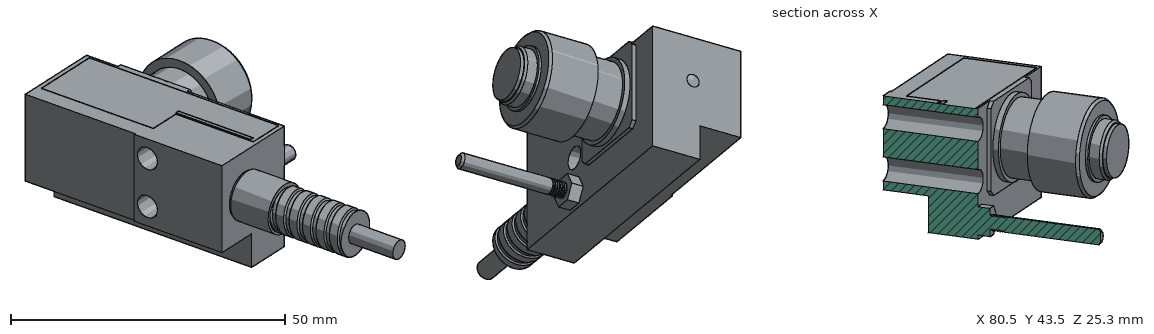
import cadquery as cq
import math


BODY_LENGTH = 45.05
BODY_DEPTH = 19.0
BODY_HEIGHT = 25.0
LIP_DEPTH = 10.0
LIP_HEIGHT = 7.0
RELIEF_LENGTH = 25.0
RELIEF_DEPTH = 0.3

AXIS_DROP = 9.0
AXIS_Z = BODY_HEIGHT - AXIS_DROP
PIN_X = 28.1

HOLE_DIAMETER = 4.5
HOLE_DROPS = (4.0, 14.0)

PANEL_SINK = 0.1
PANEL_SIDE_MARGIN = 1.0
PANEL_BACK_MARGIN = 0.5
PANEL_STEP_X = 26.5
PANEL_WIDE_REACH = 15.05
PANEL_NARROW_REACH = 8.2
RAIL_START_X = 26.1
RAIL_END_X = 43.2
RAIL_REACH = 7.8
RAIL_WIDTH = 0.8

PLUNGER_X = 15.05
PLATE_SIDE = 2 * AXIS_DROP
PLATE_CORNER = 1.1
PLATE_THICKNESS = 0.8
COLLAR_RADIUS = 8.3
COLLAR_END = 1.9
STEM_RADIUS = 7.5
ROLLER_RADIUS = 9.25
ROLLER_START = 8.1
ROLLER_END = 18.3
ROLLER_CHAMFER_LENGTH = 0.6
ROLLER_CHAMFER_RISE = 0.4
WASHER_RADIUS = 6.2
WASHER_END = 18.8
CAP_RADIUS = 5.55
CAP_TAPER_START = 20.8
CAP_TAPER_END = 21.3
TAPER_TIP_RADIUS = 5.2
TIP_RADIUS = 5.0
TIP_END = 22.0

PIN_RADIUS = 1.5
PIN_LENGTH = 24.5
PIN_CHAMFER = 0.5
PIN_Z = 3.5
THREAD_LENGTH = 5.7
THREAD_PITCH = 0.5
THREAD_DEPTH = 0.25
THREAD_MOUTH = 0.4
THREAD_FLOOR = 0.1
NUT_FLATS = 5.5
NUT_HEIGHT = 2.4

CABLE_Y = 7.0
SLEEVE_RADIUS = 5.0
SLEEVE_LENGTH = 9.0
SLEEVE_CHAMFER_LENGTH = 0.5
SLEEVE_CHAMFER_RISE = 0.25
COIL_RADIUS = 4.5
COIL_LENGTH = 16.0
COIL_PITCH = 3.05
COIL_GROOVE_MOUTH = 1.3
COIL_GROOVE_FLOOR = 0.7
COIL_GROOVE_DEPTH = 0.3
CABLE_RADIUS = 1.89
CABLE_REACH = 35.1

SCREW_Y = 10.45
SCREW_RADIUS = 1.3
SCREW_RISE = 0.3


def helical_groove(radius, pitch, start, turns, depth, mouth, floor):
    """Groove cutter winding right-handed up the Z axis from z = start on the +X side."""
    overshoot = depth / 2
    mouth_slope = (mouth - floor) / 2 / depth
    outer_half = mouth / 2 + mouth_slope * overshoot
    inner_half = floor / 2
    path = cq.Workplane(obj=cq.Wire.makeHelix(pitch, pitch * turns, radius))
    section = cq.Workplane("XZ").polyline([
        (radius - depth, -inner_half),
        (radius + overshoot, -outer_half),
        (radius + overshoot, outer_half),
        (radius - depth, inner_half),
    ]).close()
    return section.sweep(path, isFrenet=True).translate((0, 0, start))


def along_x(shape):
    """Turn a shape built up the Z axis to point along +X."""
    return shape.rotate((0, 0, 0), (0, 1, 0), 90)


def along_y(shape):
    """Turn a shape built up the Z axis to point along +Y."""
    return shape.rotate((0, 0, 0), (1, 0, 0), -90)


def make_body():
    lip_front = BODY_DEPTH - LIP_DEPTH
    body = cq.Workplane("XY").box(BODY_LENGTH, BODY_DEPTH, BODY_HEIGHT, centered=False)
    undercut = cq.Workplane("XY").box(BODY_LENGTH, lip_front, LIP_HEIGHT, centered=False)
    relief = cq.Workplane("XY").box(RELIEF_LENGTH, RELIEF_DEPTH, BODY_HEIGHT, centered=False)
    holes = (
        cq.Workplane("XZ")
        .pushPoints([(PIN_X, BODY_HEIGHT - drop) for drop in HOLE_DROPS])
        .circle(HOLE_DIAMETER / 2)
        .extrude(-BODY_DEPTH)
    )
    return body.cut(undercut).cut(relief).cut(holes)


def make_panel_cutter():
    left = PANEL_SIDE_MARGIN
    right = BODY_LENGTH - PANEL_SIDE_MARGIN
    back = BODY_DEPTH - PANEL_BACK_MARGIN
    wide_front = BODY_DEPTH - PANEL_WIDE_REACH
    narrow_front = BODY_DEPTH - PANEL_NARROW_REACH
    floor = cq.Workplane("XY").workplane(offset=BODY_HEIGHT - PANEL_SINK)
    panel = floor.polyline([
        (left, back),
        (left, wide_front),
        (PANEL_STEP_X, wide_front),
        (PANEL_STEP_X, narrow_front),
        (right, narrow_front),
        (right, back),
    ]).close().extrude(PANEL_SINK)
    rail = (
        floor.moveTo(RAIL_START_X, BODY_DEPTH - RAIL_REACH)
        .rect(RAIL_END_X - RAIL_START_X, RAIL_WIDTH, centered=False)
        .extrude(PANEL_SINK)
    )
    return panel.cut(rail)


def make_plunger():
    plate = (
        cq.Workplane("XY")
        .rect(PLATE_SIDE, PLATE_SIDE)
        .extrude(PLATE_THICKNESS)
        .edges("|Z")
        .chamfer(PLATE_CORNER)
    )
    turned = cq.Workplane("XZ").polyline([
        (0, 0),
        (COLLAR_RADIUS, 0),
        (COLLAR_RADIUS, COLLAR_END),
        (STEM_RADIUS, COLLAR_END),
        (STEM_RADIUS, ROLLER_START),
        (ROLLER_RADIUS, ROLLER_START),
        (ROLLER_RADIUS, ROLLER_END - ROLLER_CHAMFER_LENGTH),
        (ROLLER_RADIUS - ROLLER_CHAMFER_RISE, ROLLER_END),
        (WASHER_RADIUS, ROLLER_END),
        (WASHER_RADIUS, WASHER_END),
        (CAP_RADIUS, WASHER_END),
        (CAP_RADIUS, CAP_TAPER_START),
        (TAPER_TIP_RADIUS, CAP_TAPER_END),
        (TIP_RADIUS, CAP_TAPER_END),
        (TIP_RADIUS, TIP_END),
        (0, TIP_END),
    ]).close().revolve(360, (0, 0, 0), (0, 1, 0))
    return along_y(plate.union(turned)).translate((PLUNGER_X, BODY_DEPTH, AXIS_Z))


def make_pin():
    shank = (
        cq.Workplane("XY")
        .circle(PIN_RADIUS)
        .extrude(PIN_LENGTH)
        .faces(">Z")
        .chamfer(PIN_CHAMFER)
    )
    turns = math.floor((THREAD_LENGTH - NUT_HEIGHT) / THREAD_PITCH) + 1
    thread_start = THREAD_LENGTH - THREAD_MOUTH / 2 - turns * THREAD_PITCH
    thread = helical_groove(
        PIN_RADIUS, THREAD_PITCH, thread_start, turns, THREAD_DEPTH, THREAD_MOUTH, THREAD_FLOOR
    )
    across_corners = NUT_FLATS / math.cos(math.pi / 6)
    nut = cq.Workplane("XY").polygon(6, across_corners).extrude(NUT_HEIGHT)
    return along_y(shank.cut(thread).union(nut)).translate((PIN_X, BODY_DEPTH, PIN_Z))


def make_cable_outlet():
    sleeve = cq.Workplane("XY").circle(SLEEVE_RADIUS).extrude(SLEEVE_LENGTH)
    sleeve = sleeve.faces("<Z").chamfer(SLEEVE_CHAMFER_LENGTH, SLEEVE_CHAMFER_RISE)
    coil_turns = math.ceil(COIL_LENGTH / COIL_PITCH)
    groove = helical_groove(
        COIL_RADIUS, COIL_PITCH, -COIL_PITCH / 2, coil_turns + 1,
        COIL_GROOVE_DEPTH, COIL_GROOVE_MOUTH, COIL_GROOVE_FLOOR,
    )
    coil = cq.Workplane("XY").circle(COIL_RADIUS).extrude(COIL_LENGTH).cut(groove)
    cable = cq.Workplane("XY").circle(CABLE_RADIUS).extrude(CABLE_REACH)
    outlet = sleeve.union(coil.translate((0, 0, SLEEVE_LENGTH))).union(cable)
    return along_x(outlet).translate((BODY_LENGTH, CABLE_Y, AXIS_Z))


def make_end_screw():
    ball_radius = (SCREW_RADIUS**2 + SCREW_RISE**2) / (2 * SCREW_RISE)
    return cq.Workplane("XY").sphere(ball_radius).translate((ball_radius - SCREW_RISE, SCREW_Y, AXIS_Z))


result = (
    make_body()
    .cut(make_panel_cutter())
    .union(make_plunger())
    .union(make_pin())
    .union(make_cable_outlet())
    .union(make_end_screw())
)